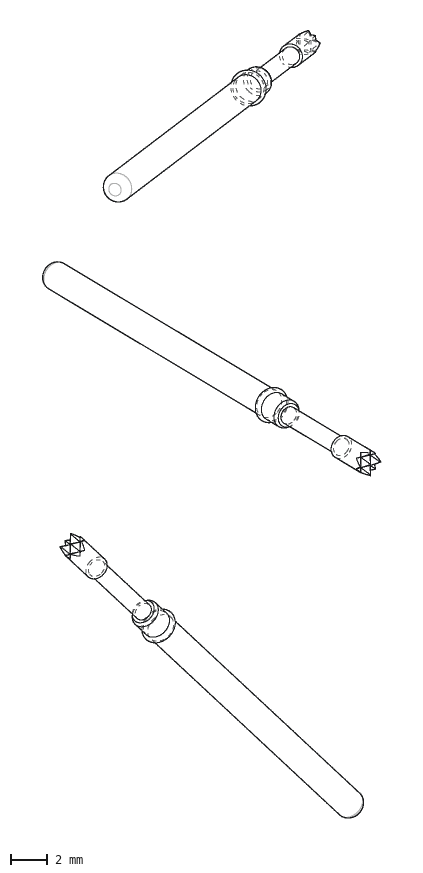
import cadquery as cq
import math


total_length = 32.3
head_length = 2.97
shaft_length = 5.33
tip_to_collar = 10.05
collar_width = 0.5

barrel_diameter = 1.6
collar_diameter = 2.0
shaft_diameter = 1.0
head_diameter = 1.32

tail_fillet = 0.45
mouth_chamfer_length = 0.23
mouth_chamfer_depth = 0.13

groove_angle = 60.0
groove_offset = 0.307
groove_depth = groove_offset / math.tan(math.radians(groove_angle / 2))

head_start = total_length - head_length
barrel_length = head_start - shaft_length
collar_center = total_length - tip_to_collar


def cylinder(diameter, start, end):
    """Solid cylinder about the Y axis between two positions."""
    return cq.Workplane("XZ", origin=(0, start, 0)).circle(diameter / 2).extrude(start - end)


def make_barrel():
    """Plain tube body with a rounded tail and a chamfered mouth."""
    barrel = cylinder(barrel_diameter, 0, barrel_length)
    barrel = barrel.faces("<Y").edges().fillet(tail_fillet)
    return barrel.faces(">Y").edges().chamfer(mouth_chamfer_length, mouth_chamfer_depth)


def make_collar():
    """Ring with a rounded rim that stands out from the barrel."""
    collar_start = collar_center - collar_width / 2
    collar_end = collar_center + collar_width / 2
    barrel_radius = barrel_diameter / 2
    return (
        cq.Workplane("XY")
        .moveTo(0, collar_start)
        .lineTo(barrel_radius, collar_start)
        .threePointArc((collar_diameter / 2, collar_center), (barrel_radius, collar_end))
        .lineTo(0, collar_end)
        .close()
        .revolve(360, (0, 0, 0), (0, 1, 0))
    )


def make_groove(offset):
    """V-shaped cutter running along Z at the given X offset."""
    return (
        cq.Workplane("XY")
        .moveTo(offset - groove_offset, total_length)
        .lineTo(offset, total_length - groove_depth)
        .lineTo(offset + groove_offset, total_length)
        .close()
        .extrude(head_diameter, both=True)
    )


def make_plunger():
    """Thin shaft with a wider head whose end is cut into pointed teeth."""
    shaft = cylinder(shaft_diameter, barrel_length, head_start)
    head = cylinder(head_diameter, head_start, total_length)
    for offset in (-groove_offset, groove_offset):
        groove = make_groove(offset)
        crossing_groove = groove.rotate((0, 0, 0), (0, 1, 0), 90)
        head = head.cut(groove).cut(crossing_groove)
    return shaft.union(head)


result = make_barrel().union(make_collar()).union(make_plunger())